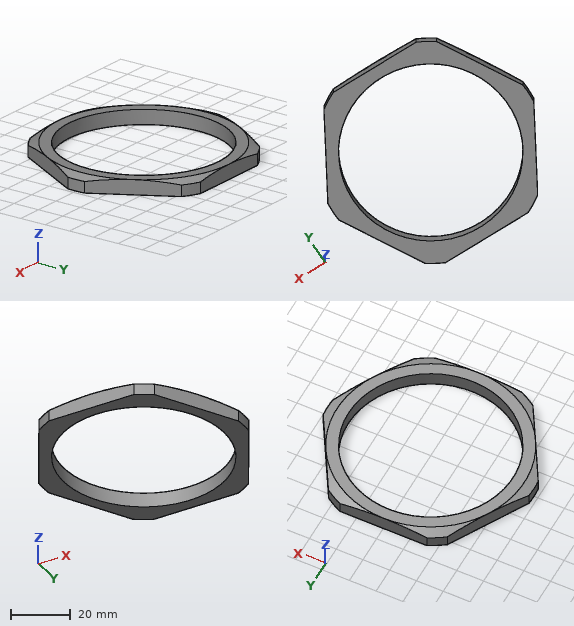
import cadquery as cq
import math

corner_diameter = 77.2
across_flats = 70.0
thickness = 5.5
bore_diameter = 61.45
chamfer_height = 1.3

corner_radius = corner_diameter / 2
face_radius = across_flats / 2
across_corners = across_flats / math.cos(math.pi / 6)


def hexagon_blank():
    """Hexagonal plate with two corners on the X axis."""
    return cq.Workplane("XY").polygon(6, across_corners).extrude(thickness)


def turned_envelope():
    """Revolved ring: cylinder at the corners, cone at the top, bore through the middle."""
    bore_radius = bore_diameter / 2
    profile = (
        cq.Workplane("XZ")
        .moveTo(bore_radius, 0)
        .lineTo(corner_radius, 0)
        .lineTo(corner_radius, thickness - chamfer_height)
        .lineTo(face_radius, thickness)
        .lineTo(bore_radius, thickness)
        .close()
    )
    return profile.revolve(360, (0, 0, 0), (0, 1, 0))


result = hexagon_blank().intersect(turned_envelope())